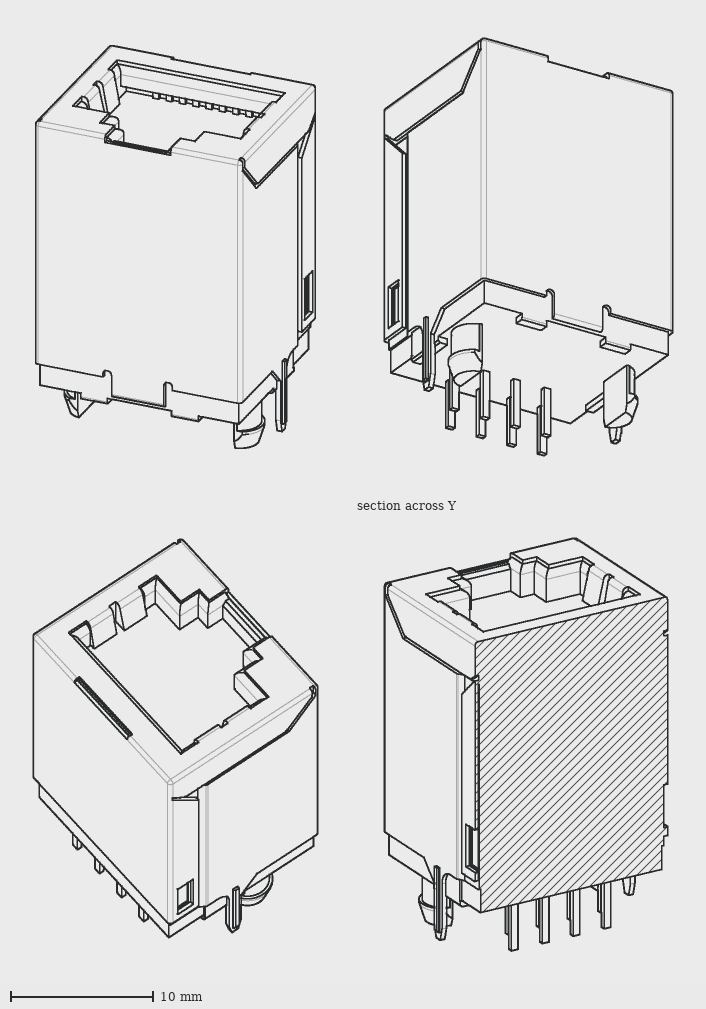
import cadquery as cq
import math


SHELL_WIDTH = 15.87
SHELL_DEPTH = 13.35
SHELL_TOP = 21.29
SHEET = 0.30
BEND_RADIUS = 0.28
SIDE_BOTTOM = 2.24
REAR_BOTTOM = 2.95
HALF_WIDTH = SHELL_WIDTH / 2
HALF_DEPTH = SHELL_DEPTH / 2
SHEET_TOP_UNDERSIDE = SHELL_TOP - SHEET

HOUSING_BOTTOM = 0.45
HOUSING_HALF_WIDTH = HALF_WIDTH - SHEET
HOUSING_FRONT = -HALF_DEPTH + SHEET
HOUSING_REAR = HALF_DEPTH - SHEET
REAR_INSET = 0.18
REAR_HALF_WIDTH = HOUSING_HALF_WIDTH - REAR_INSET

THROAT_HALF_WIDTHS = (5.94, 3.15, 2.02)
THROAT_REAR = 4.02
THROAT_STEPS = (-2.80, -4.45, -5.78)
LEAD_IN = 0.50
CAVITY_DEPTH = 2.56
CAVITY_FLOOR = SHELL_TOP - CAVITY_DEPTH
SHELL_NOTCH_DROP = 0.54
LATCH_SILL_DROP = 0.60
LATCH_SILL_BEVEL = 0.28

CONTACT_COUNT = 8
CONTACT_PITCH = 1.02
CONTACT_WIDTH = 0.45
CONTACT_SLOT_HEIGHT = 0.83
CONTACT_SLOT_DEPTH = 0.95
CONTACT_THICKNESS = 0.25

TAB_POCKET_Y = (-1.86, 2.98)
TAB_WIDTH = 2.02
TAB_TOP_X = 6.33
TAB_ROUND = 0.36
TAB_LENGTH = CAVITY_DEPTH
GROUND_TABS = ((1.93, 5.56), (-0.69, 5.46))

SEAM = 0.25
FLAP_BOTTOM = 18.23
FLAP_REAR_Y = 5.24
FLAP_FRONT_Y = -3.72
FLAP_CORNER_Y = -6.03
FLAP_CORNER_Z = 20.55
CORNER_SLIT = 0.32
REAR_WING_Y = 4.06
REAR_WING_SHOULDER_Z = 16.67
REAR_WING_TIP_Z = 18.86
PANEL_REAR_Y = 3.27
JOG_START_Y = 3.43
JOG_BEND_DROP = 0.03
JOG_DEPTH = 0.33
JOG_END_Y = 3.90

WINDOW_Y = (4.58, 5.95)
WINDOW_Z = (3.65, 6.89)
WINDOW_RIM = 0.18
WINDOW_EXTRA_DEPTH = 0.12

FRONT_TAB_HALF_WIDTH = 2.01
FRONT_TAB_BOTTOM = 0.72
RELIEF_WIDTH = 0.66
RELIEF_TOP = 2.80

REAR_NOTCH_WIDTH = 6.06
REAR_NOTCH_DROP = 0.25
REAR_SLIT = 0.17

LEG_Y = 0.84
LEG_WIDTH = 1.06
LEG_SHEET = 0.38
LEG_TIP_Z = -3.28
LEG_TAPER_Z = -2.30
LEG_TIP_WIDTH = 0.56
LEG_FILLET = 1.08
LEG_GUSSET = 1.42
RIB_WIDTH = 0.43
RIB_HEIGHT = 0.185
RIB_BOTTOM = -2.72
RIB_BEVEL = 0.12

PIN_BOTTOM = -3.20
PEG_X = 5.78
PEG_Y = -1.93
PEG_RADIUS = 1.55
PEG_FLAT_X = 6.00
PEG_WEB = 0.21
BARB_RADIUS = 1.77
BARB_TIP_RADIUS = 1.37
BARB_TOP = -1.70
BARB_TAPER_TOP = -1.92

PIN_COUNT = 8
PIN_PITCH = 1.27
PIN_ROWS_Y = (2.74, 5.31)
PIN_SIZE_X = 0.55
PIN_SIZE_Y = 0.38

SIDE_FOOT_BEVEL = 0.16
FRONT_FOOT_BEVEL_HEIGHT = 0.18
FRONT_FOOT_BEVEL_DEPTH = 0.05
FRONT_FOOT_X = (2.45, 4.51)
FOOT_THICKNESS = 0.77
SIDE_FOOT_Y = (-0.23, 3.36)


def block(x_range, y_range, z_range):
    """Axis-aligned box given by its limits."""
    sizes = [high - low for low, high in (x_range, y_range, z_range)]
    corner = (x_range[0], y_range[0], z_range[0])
    return cq.Workplane("XY").box(*sizes, centered=False).translate(corner)


def side_plate(points, x_inner, x_outer):
    """Plate normal to X, between two X limits, with its outline given as (Y, Z) points."""
    return cq.Workplane("YZ", origin=(x_inner, 0, 0)).polyline(points).close().extrude(x_outer - x_inner)


def both_sides(shape):
    """The shape together with its mirror image across the YZ plane."""
    return shape.union(shape.mirror("YZ"))


def make_housing():
    return block(
        (-HOUSING_HALF_WIDTH, HOUSING_HALF_WIDTH),
        (HOUSING_FRONT, HOUSING_REAR),
        (HOUSING_BOTTOM, SHEET_TOP_UNDERSIDE),
    )


def make_rear_insets():
    """Material removed from both sides of the housing beneath the rear wings."""
    z_range = (HOUSING_BOTTOM, FLAP_BOTTOM - SEAM)
    inset = block((REAR_HALF_WIDTH, HOUSING_HALF_WIDTH), (PANEL_REAR_Y, HOUSING_REAR), z_range)
    return both_sides(inset)


def make_shell():
    """Folded shell as a rounded block with the rear cover cut to its shorter height."""
    shell = block((-HALF_WIDTH, HALF_WIDTH), (-HALF_DEPTH, HALF_DEPTH), (SIDE_BOTTOM, SHELL_TOP))
    shell = shell.edges("|Z or >Z").fillet(BEND_RADIUS)
    below_rear_cover = block(
        (-HALF_WIDTH, HALF_WIDTH), (HOUSING_REAR, HALF_DEPTH), (SIDE_BOTTOM, REAR_BOTTOM)
    )
    return shell.cut(below_rear_cover)


def make_side_seams():
    """Open area between the top flap, the rear wing and the side panel."""
    rear_y = HALF_DEPTH - BEND_RADIUS
    slit_y = FLAP_CORNER_Y - CORNER_SLIT
    panel_top = FLAP_BOTTOM - SEAM
    outline = [
        (rear_y, REAR_WING_TIP_Z + SEAM),
        (FLAP_REAR_Y, FLAP_BOTTOM),
        (FLAP_FRONT_Y, FLAP_BOTTOM),
        (FLAP_CORNER_Y, FLAP_CORNER_Z),
        (FLAP_CORNER_Y, SHELL_TOP),
        (slit_y, SHELL_TOP),
        (slit_y, FLAP_CORNER_Z - SEAM / 2),
        (FLAP_FRONT_Y - SEAM, panel_top),
        (PANEL_REAR_Y, panel_top),
        (PANEL_REAR_Y, SIDE_BOTTOM),
        (HALF_DEPTH, SIDE_BOTTOM),
        (HALF_DEPTH, REAR_BOTTOM),
        (REAR_WING_Y, REAR_BOTTOM),
        (REAR_WING_Y, REAR_WING_SHOULDER_Z),
        (rear_y, REAR_WING_TIP_Z),
    ]
    return both_sides(side_plate(outline, HOUSING_HALF_WIDTH, HALF_WIDTH))


def make_panel_jogs():
    """Side panels stepping inward to pass beneath the rear wings."""
    height = FLAP_BOTTOM - SEAM - SIDE_BOTTOM
    bend_span = JOG_START_Y - PANEL_REAR_Y
    jog = (
        cq.Workplane("XY", origin=(0, 0, SIDE_BOTTOM))
        .moveTo(REAR_HALF_WIDTH, PANEL_REAR_Y)
        .lineTo(HALF_WIDTH, PANEL_REAR_Y)
        .threePointArc(
            (HALF_WIDTH - JOG_BEND_DROP / 4, PANEL_REAR_Y + bend_span / 2),
            (HALF_WIDTH - JOG_BEND_DROP, JOG_START_Y),
        )
        .lineTo(HALF_WIDTH - JOG_DEPTH, JOG_END_Y)
        .lineTo(HALF_WIDTH - JOG_DEPTH, HOUSING_REAR)
        .lineTo(REAR_HALF_WIDTH, HOUSING_REAR)
        .close()
        .extrude(height)
    )
    return both_sides(jog)


def make_latch_windows():
    window = block((HOUSING_HALF_WIDTH, HALF_WIDTH), WINDOW_Y, WINDOW_Z)
    recess = block(
        (HOUSING_HALF_WIDTH - JOG_DEPTH + SHEET - WINDOW_EXTRA_DEPTH, HALF_WIDTH),
        (WINDOW_Y[0] + WINDOW_RIM, WINDOW_Y[1] - WINDOW_RIM),
        (WINDOW_Z[0] + WINDOW_RIM / 2, WINDOW_Z[1] - WINDOW_RIM / 2),
    )
    return both_sides(window.union(recess))


def make_opening_sheet():
    """Stepped cut through the shell top, one lead-in wider than the cavity on every side."""
    body, shoulder, slot = [half + LEAD_IN for half in THROAT_HALF_WIDTHS]
    body_front, shoulder_front, _ = [step - LEAD_IN for step in THROAT_STEPS]
    right = [
        (body, THROAT_REAR + LEAD_IN),
        (body, body_front),
        (shoulder, body_front),
        (shoulder, shoulder_front),
        (slot, shoulder_front),
        (slot, -HALF_DEPTH),
    ]
    left = [(-x, y) for x, y in reversed(right)]
    plane = cq.Workplane("XY", origin=(0, 0, SHEET_TOP_UNDERSIDE))
    return plane.polyline(right + left).close().extrude(SHEET)


def flared_prism(plane, low, high, low_flare, high_flare, length):
    """Prism widening like the bell of a horn at the mouth on each flared side."""
    base_z = SHEET_TOP_UNDERSIDE - LEAD_IN
    arc_side = LEAD_IN * (1 - math.sqrt(0.5))
    arc_rise = LEAD_IN * math.sqrt(0.5)
    sketch = cq.Workplane(plane).moveTo(low, CAVITY_FLOOR).lineTo(high, CAVITY_FLOOR).lineTo(high, base_z)
    if high_flare:
        sketch = sketch.threePointArc(
            (high + arc_side, base_z + arc_rise), (high + LEAD_IN, SHEET_TOP_UNDERSIDE)
        )
    else:
        sketch = sketch.lineTo(high, SHEET_TOP_UNDERSIDE)
    if low_flare:
        sketch = sketch.lineTo(low - LEAD_IN, SHEET_TOP_UNDERSIDE)
        sketch = sketch.threePointArc((low - arc_side, base_z + arc_rise), (low, base_z))
    else:
        sketch = sketch.lineTo(low, SHEET_TOP_UNDERSIDE)
    return sketch.close().extrude(length, both=True)


def make_flared_cavity():
    """Stepped cavity as three rectangular wells with rounded mouths."""
    wells = cq.Workplane("XY")
    for half, front in zip(THROAT_HALF_WIDTHS, THROAT_STEPS):
        is_body = half == THROAT_HALF_WIDTHS[0]
        is_slot = half == THROAT_HALF_WIDTHS[-1]
        rear = THROAT_REAR if is_body else 0
        across = flared_prism("XZ", -half, half, True, True, SHELL_DEPTH)
        along = flared_prism("YZ", front, rear, not is_slot, is_body, SHELL_WIDTH)
        wells = wells.union(across.intersect(along))
    return wells


def make_latch_sill():
    """Lowered front wall across the latch slot, with flared ends and an inner bevel."""
    half = THROAT_HALF_WIDTHS[2]
    front = THROAT_STEPS[2]
    sill_z = SHELL_TOP - LATCH_SILL_DROP
    outline = [
        (front, SHEET_TOP_UNDERSIDE),
        (HOUSING_FRONT, SHEET_TOP_UNDERSIDE),
        (HOUSING_FRONT, sill_z),
        (front - LATCH_SILL_BEVEL, sill_z),
        (front, sill_z - LATCH_SILL_BEVEL),
    ]
    sill = side_plate(outline, -half - LEAD_IN, half + LEAD_IN)
    return sill.intersect(flared_prism("XZ", -half, half, True, True, SHELL_DEPTH))


def make_shell_opening():
    """Plug opening in the shell top, running out over the front bend as a shallow notch."""
    opening = make_opening_sheet()
    notch_half = THROAT_HALF_WIDTHS[2] + LEAD_IN
    notch_bottom = SHELL_TOP - SHELL_NOTCH_DROP
    notch = block((-notch_half, notch_half), (-HALF_DEPTH, HOUSING_FRONT), (notch_bottom, SHELL_TOP))
    return opening.union(notch)


def make_tab_pockets():
    pocket_wall = THROAT_HALF_WIDTHS[0] + LEAD_IN
    return both_sides(block((0, pocket_wall), TAB_POCKET_Y, (CAVITY_FLOOR, SHELL_TOP)))


def make_ground_tabs():
    """Spring tabs rolled over the mouth edge and leaning into the cavity."""
    wall = THROAT_HALF_WIDTHS[0] + LEAD_IN
    roll_x = TAB_TOP_X - TAB_ROUND
    mid = math.sqrt(0.5) * TAB_ROUND
    roll_z = SHELL_TOP - TAB_ROUND
    tabs = cq.Workplane("XY")
    for center_y, tip_x in GROUND_TABS:
        tab = (
            cq.Workplane("XZ", origin=(0, center_y + TAB_WIDTH / 2, 0))
            .moveTo(wall, SHELL_TOP)
            .lineTo(TAB_TOP_X, SHELL_TOP)
            .threePointArc((TAB_TOP_X - mid, roll_z + mid), (roll_x, roll_z))
            .lineTo(tip_x, SHELL_TOP - TAB_LENGTH)
            .lineTo(wall, SHELL_TOP - TAB_LENGTH)
            .close()
            .extrude(TAB_WIDTH)
        )
        tabs = tabs.union(both_sides(tab))
    return tabs


def make_contact_slot():
    """Undercut at the foot of the cavity's rear wall, with the contacts left standing at its back."""
    half = THROAT_HALF_WIDTHS[0]
    y_range = (THROAT_REAR, THROAT_REAR + CONTACT_SLOT_DEPTH)
    z_range = (CAVITY_FLOOR, CAVITY_FLOOR + CONTACT_SLOT_HEIGHT)
    slot = block((-half, half), y_range, z_range)
    for index in range(CONTACT_COUNT):
        x = (index - (CONTACT_COUNT - 1) / 2) * CONTACT_PITCH
        x_range = (x - CONTACT_WIDTH / 2, x + CONTACT_WIDTH / 2)
        slot = slot.cut(block(x_range, (y_range[1] - CONTACT_THICKNESS, y_range[1]), z_range))
    return slot


def make_front_reliefs():
    """Round-ended slots that free the front retaining tab."""
    radius = RELIEF_WIDTH / 2
    center_x = FRONT_TAB_HALF_WIDTH + radius
    arc_z = RELIEF_TOP - radius
    slot = block(
        (FRONT_TAB_HALF_WIDTH, FRONT_TAB_HALF_WIDTH + RELIEF_WIDTH),
        (-HALF_DEPTH, HOUSING_FRONT),
        (SIDE_BOTTOM, arc_z),
    )
    end = cq.Workplane("XZ", origin=(center_x, HOUSING_FRONT, arc_z)).circle(radius).extrude(SHEET)
    return both_sides(slot.union(end))


def make_front_tab():
    tab = block(
        (-FRONT_TAB_HALF_WIDTH, FRONT_TAB_HALF_WIDTH),
        (-HALF_DEPTH, HOUSING_FRONT),
        (FRONT_TAB_BOTTOM, SIDE_BOTTOM),
    )
    return tab.edges("<Y and <Z").fillet(BEND_RADIUS)


def make_rear_notch():
    """Step in the rear top bend with a slit between the rear cover and the top plate."""
    x_range = (-REAR_NOTCH_WIDTH / 2, REAR_NOTCH_WIDTH / 2)
    step = block(x_range, (HOUSING_REAR, HALF_DEPTH), (SHELL_TOP - REAR_NOTCH_DROP, SHELL_TOP))
    slit = block(x_range, (HOUSING_REAR - REAR_SLIT, HOUSING_REAR), (SHEET_TOP_UNDERSIDE, SHELL_TOP))
    return step.union(slit)


def make_ground_legs():
    """Tapered legs hanging from the side panels, each with a stiffening rib."""
    half = LEG_WIDTH / 2
    tip = LEG_TIP_WIDTH / 2
    rear = LEG_Y + half
    front = LEG_Y - half
    arc_mid = LEG_FILLET * (1 - math.sqrt(0.5))
    leg = (
        cq.Workplane("YZ", origin=(HALF_WIDTH - LEG_SHEET, 0, 0))
        .moveTo(rear + LEG_FILLET, SIDE_BOTTOM)
        .threePointArc((rear + arc_mid, SIDE_BOTTOM - arc_mid), (rear, SIDE_BOTTOM - LEG_FILLET))
        .lineTo(rear, LEG_TAPER_Z)
        .lineTo(LEG_Y + tip, LEG_TIP_Z)
        .lineTo(LEG_Y - tip, LEG_TIP_Z)
        .lineTo(front, LEG_TAPER_Z)
        .lineTo(front, SIDE_BOTTOM - LEG_GUSSET)
        .lineTo(front - LEG_GUSSET, SIDE_BOTTOM)
        .close()
        .extrude(LEG_SHEET)
    )
    rib = block(
        (HALF_WIDTH - LEG_SHEET / 2, HALF_WIDTH + RIB_HEIGHT),
        (LEG_Y - RIB_WIDTH / 2, LEG_Y + RIB_WIDTH / 2),
        (RIB_BOTTOM, SIDE_BOTTOM),
    )
    rib = rib.edges(">X and (<Z or >Y)").chamfer(RIB_BEVEL)
    return both_sides(leg.union(rib))


def make_pegs():
    """Half-round board pegs with a tapered barb on the outer side."""
    y_range = (PEG_Y - PEG_RADIUS, PEG_Y + PEG_RADIUS)
    shaft_height = HOUSING_BOTTOM - BARB_TOP
    base = cq.Workplane("XY", origin=(PEG_X, PEG_Y, BARB_TOP))
    shaft = base.circle(PEG_RADIUS).extrude(shaft_height)
    web = block((PEG_FLAT_X, PEG_FLAT_X + PEG_WEB), y_range, (BARB_TOP, HOUSING_BOTTOM))
    barb = (
        cq.Workplane("XZ", origin=(PEG_X, PEG_Y, 0))
        .moveTo(0, BARB_TOP)
        .lineTo(BARB_RADIUS, BARB_TOP)
        .lineTo(BARB_RADIUS, BARB_TAPER_TOP)
        .lineTo(BARB_TIP_RADIUS, PIN_BOTTOM)
        .lineTo(0, PIN_BOTTOM)
        .close()
        .revolve(360, (0, 0, 0), (0, 1, 0))
    )
    outer_half = block((PEG_FLAT_X, HALF_WIDTH), y_range, (PIN_BOTTOM, HOUSING_BOTTOM))
    return both_sides(shaft.union(barb).intersect(outer_half).union(web))


def make_pins():
    """Solder pins alternating between two rows."""
    pins = cq.Workplane("XY")
    for index in range(PIN_COUNT):
        x = (index - (PIN_COUNT - 1) / 2) * PIN_PITCH
        y = PIN_ROWS_Y[index % 2]
        pin = block(
            (x - PIN_SIZE_X / 2, x + PIN_SIZE_X / 2),
            (y - PIN_SIZE_Y / 2, y + PIN_SIZE_Y / 2),
            (PIN_BOTTOM, HOUSING_BOTTOM),
        )
        pins = pins.union(pin)
    return pins


def make_feet():
    """Standoff feet at the front edge and along both sides."""
    front_outline = [
        (HOUSING_FRONT, HOUSING_BOTTOM),
        (HOUSING_FRONT, FRONT_FOOT_BEVEL_HEIGHT),
        (HOUSING_FRONT + FRONT_FOOT_BEVEL_DEPTH, 0),
        (HOUSING_FRONT + FOOT_THICKNESS, 0),
        (HOUSING_FRONT + FOOT_THICKNESS, HOUSING_BOTTOM),
    ]
    front = side_plate(front_outline, *FRONT_FOOT_X)
    side_x = (HOUSING_HALF_WIDTH - FOOT_THICKNESS, HOUSING_HALF_WIDTH)
    side = block(side_x, SIDE_FOOT_Y, (0, HOUSING_BOTTOM))
    side = side.edges(">X and <Z").chamfer(SIDE_FOOT_BEVEL)
    return both_sides(front.union(side))


housing = make_housing()

shell = make_shell().cut(housing)
housing = housing.cut(make_rear_insets())
shell = shell.cut(make_side_seams()).union(make_panel_jogs())
shell = shell.cut(make_front_reliefs()).union(make_front_tab()).cut(make_shell_opening())

body = housing.cut(make_flared_cavity()).cut(make_latch_sill()).union(shell)
body = body.cut(make_latch_windows()).cut(make_rear_notch()).cut(make_tab_pockets())
body = body.cut(make_contact_slot()).union(make_ground_tabs())

for feature in (make_feet(), make_pegs(), make_pins(), make_ground_legs()):
    body = body.union(feature)

result = body